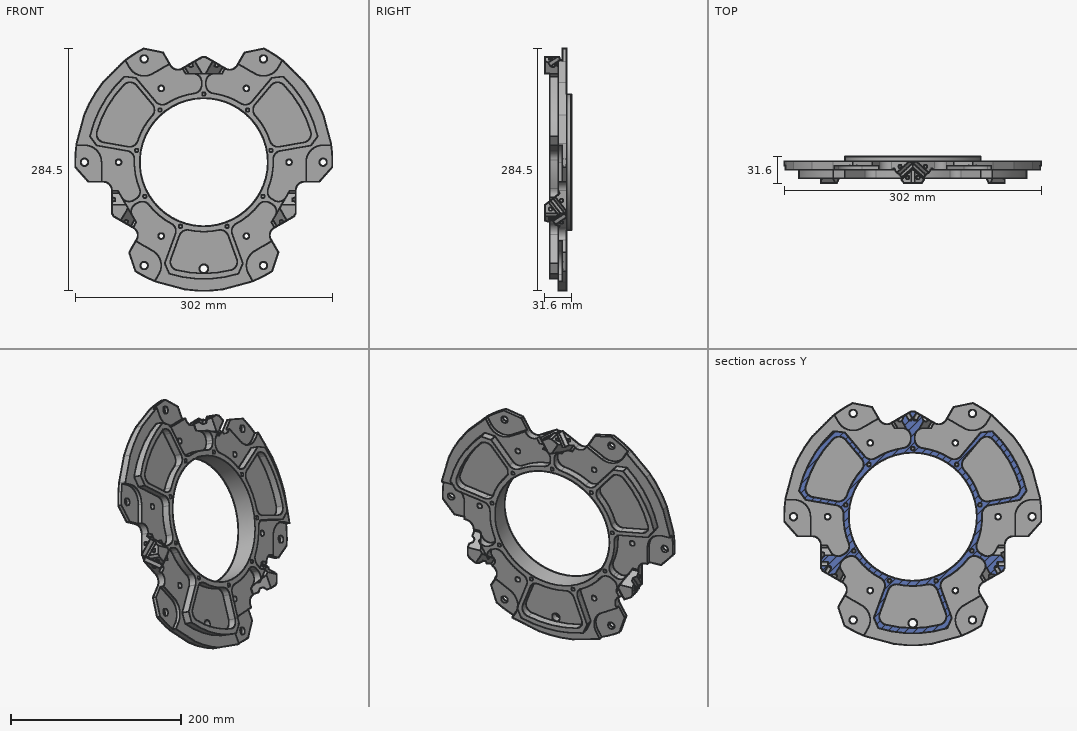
import cadquery as cq
import math

WEB_HEIGHT = 10.0
TAB_HEIGHT = 5.0
RIB_HEIGHT = 20.0
BLOCK_HEIGHT = 25.6
HUB_DEPTH = 6.0
HUB_CHAMFER = 1.0

OUTER_RADIUS = 151.0
RIM_FLAT_DISTANCE = 150.0
RIM_FLAT_ANGLE = 15.0
BORE_RADIUS = 75.0
HUB_RADIUS = 80.0
RING_RIB_RADIUS = 81.5

BLOCK_ANGLES = (90, 210, 330)
KEYSTONE_ANGLES = (270, 30, 150)
TAB_ANGLES = tuple(range(0, 360, 60))

TAB_HALF_WIDTH = 23.0
TAB_TIP_HALF_WIDTH = 5.65
TAB_SHOULDER = 135.5
TAB_HOLE_CIRCLE = 140.0
TAB_HOLE_DIAMETER = 8.5
TAB_RECESS_RADIUS = 20.0
NOTCH_FILLET = 10.0

WEB_HOLE_CIRCLE = 100.0
WEB_HOLE_DIAMETER = 6.5
RING_HOLE_COUNT = 9
RING_HOLE_CIRCLE = 80.0
RING_HOLE_DIAMETER = 4.2
RING_HOLE_DEPTH = 10.0
POCKET_HOLE_CIRCLE = 125.0
POCKET_HOLE_DIAMETER = 10.0

RIB_HALF_WIDTH = 2.5
KEYSTONE_HALF_ANGLE = 20.0
KEYSTONE_CORNER_RADIUS = 127.2
KEYSTONE_OUTER_RADIUS = 137.0
KEYSTONE_OUTER_HALF_ANGLE = 17.2
POCKET_OUTER_RADIUS = 130.5
RIB_FILLET = 10.0

FACE_DISTANCE = 108.0
FACE_TILT = 30.0
NOSE_RADIUS = FACE_DISTANCE / math.cos(math.radians(FACE_TILT))
NOSE_BEVEL_RADIUS = 123.5
BLOCK_INNER_RADIUS = 104.0
BLOCK_FRONT_WIDTH = 12.2
FLANK_ANGLE = 52.0
RELIEF_DEPTH = 1.8
RELIEF_WIDTH = 3.1

SEAT_ALONG = 17.5
SEAT_ACROSS = 2.3
GROOVE_FLOOR_HALF = 2.0
GROOVE_MOUTH_HALF = 5.1
GROOVE_DEPTH = 4.0
SEAT_HOLE_OFFSET = 8.1
SEAT_HOLE_DIAMETER = 4.2
SEAT_HOLE_DEPTH = 8.0

DRILL_POINT_ANGLE = 118.0
REACH = 60.0


def polar(radius, angle):
    """Point in the ring plane at an angle in degrees."""
    return radius * math.cos(math.radians(angle)), radius * math.sin(math.radians(angle))


def mirrored_x(point):
    return -point[0], point[1]


def at_height(height):
    """Work plane across the ring axis: X right, Z up, extruding toward -Y."""
    return cq.Workplane("XZ", origin=(0, -height, 0))


def turned(shape, angle):
    """Turn a shape about the ring axis, counter-clockwise when seen from -Y."""
    return shape.rotate((0, 0, 0), (0, -1, 0), angle)


def drilled(plane, diameter, depth):
    """Blind hole with a drill point, going along -normal of the plane."""
    radius = diameter / 2
    point = radius / math.tan(math.radians(DRILL_POINT_ANGLE / 2))
    section_plane = cq.Plane(origin=plane.origin, xDir=plane.xDir, normal=-plane.yDir)
    return (
        cq.Workplane(section_plane)
        .polyline([(0, 0), (radius, 0), (radius, -depth), (0, -depth - point)])
        .close()
        .revolve(360, (0, 0), (0, 1))
    )


def notch_cutter():
    """Space between the tabs at 60 and 120 degrees, around the seat block nose."""
    tab_angle = 90 - FACE_TILT

    def beside_tab(along, aside):
        x, z = polar(along, tab_angle)
        dx, dz = polar(aside, tab_angle + 90)
        return x + dx, z + dz

    clear = OUTER_RADIUS + 2 * TAB_HALF_WIDTH
    tip = math.sqrt(OUTER_RADIUS**2 - TAB_TIP_HALF_WIDTH**2)
    bevel_half = (NOSE_RADIUS - NOSE_BEVEL_RADIUS) / math.tan(math.radians(FACE_TILT))
    right = [
        beside_tab(clear, TAB_TIP_HALF_WIDTH),
        beside_tab(tip, TAB_TIP_HALF_WIDTH),
        beside_tab(TAB_SHOULDER, TAB_HALF_WIDTH),
        beside_tab(FACE_DISTANCE, TAB_HALF_WIDTH),
        (bevel_half, NOSE_BEVEL_RADIUS),
    ]
    left = [mirrored_x(point) for point in reversed(right)]
    cutter = at_height(0).polyline(right + left).close().extrude(WEB_HEIGHT)
    corners = [(x, -WEB_HEIGHT / 2, z) for x, z in (right[3], left[1])]
    for corner in corners:
        cutter = cutter.edges(cq.selectors.NearestToPointSelector(corner)).fillet(NOTCH_FILLET)
    return cutter


def make_web():
    web = at_height(0).circle(OUTER_RADIUS).extrude(WEB_HEIGHT)
    cutter = notch_cutter()
    for angle in BLOCK_ANGLES:
        web = web.cut(turned(cutter, angle - 90))
    outside_flat = at_height(0).rect(REACH, 2 * OUTER_RADIUS).extrude(WEB_HEIGHT)
    outside_flat = outside_flat.translate((RIM_FLAT_DISTANCE + REACH / 2, 0, 0))
    for angle in KEYSTONE_ANGLES:
        for side in (-RIM_FLAT_ANGLE, RIM_FLAT_ANGLE):
            web = web.cut(turned(outside_flat, angle + side))
    return web


def tab_recess():
    """Recess on the right-hand tab, rounded about the hole on the side facing the ring."""
    side = TAB_RECESS_RADIUS
    hole = TAB_HOLE_CIRCLE
    far = OUTER_RADIUS + side
    arc_middle = polar(side, 135)
    return (
        at_height(TAB_HEIGHT)
        .moveTo(hole - side, -2 * side)
        .lineTo(hole - side, 0)
        .threePointArc((hole + arc_middle[0], arc_middle[1]), (hole, side))
        .lineTo(far, side)
        .lineTo(far, -2 * side)
        .close()
        .extrude(WEB_HEIGHT - TAB_HEIGHT)
    )


def cut_tab_recesses(body):
    recess = tab_recess()
    mirrored = recess.mirror("XY")
    for angle in TAB_ANGLES:
        faces_up = (angle + 30) in BLOCK_ANGLES
        body = body.cut(turned(mirrored if faces_up else recess, angle))
    return body


def beside_spoke(radius, offset):
    """Point on the right of the bottom keystone, offset outward from its side spoke."""
    angle = KEYSTONE_HALF_ANGLE + math.degrees(math.asin(offset / radius))
    return polar(radius, 270 + angle)


def make_keystone():
    """Solid keystone at the bottom, from the ring out to its curved rim."""
    inner = beside_spoke(HUB_RADIUS, RIB_HALF_WIDTH)
    corner = beside_spoke(KEYSTONE_CORNER_RADIUS, RIB_HALF_WIDTH)
    rim = polar(KEYSTONE_OUTER_RADIUS, 270 + KEYSTONE_OUTER_HALF_ANGLE)
    return (
        at_height(WEB_HEIGHT)
        .moveTo(*mirrored_x(inner))
        .lineTo(*mirrored_x(corner))
        .lineTo(*mirrored_x(rim))
        .threePointArc((0, -KEYSTONE_OUTER_RADIUS), rim)
        .lineTo(*corner)
        .lineTo(*inner)
        .close()
        .extrude(RIB_HEIGHT - WEB_HEIGHT)
    )


def keystone_pocket():
    inner = beside_spoke(RING_RIB_RADIUS, -RIB_HALF_WIDTH)
    outer = beside_spoke(POCKET_OUTER_RADIUS, -RIB_HALF_WIDTH)
    return (
        at_height(WEB_HEIGHT)
        .moveTo(*mirrored_x(inner))
        .lineTo(*mirrored_x(outer))
        .threePointArc((0, -POCKET_OUTER_RADIUS), outer)
        .lineTo(*inner)
        .threePointArc((0, -RING_RIB_RADIUS), mirrored_x(inner))
        .close()
        .extrude(RIB_HEIGHT - WEB_HEIGHT)
        .edges("|Y")
        .fillet(RIB_FILLET)
    )


def make_bridge():
    """Rib joining the ring to the seat block at the top, flared where it meets the block."""
    narrow = RIB_HALF_WIDTH
    wide = RIB_HALF_WIDTH + RIB_FILLET
    flare_start = BLOCK_INNER_RADIUS - RIB_FILLET
    bend = RIB_FILLET * (1 - math.cos(math.radians(45)))
    bend_point = (narrow + bend, BLOCK_INNER_RADIUS - bend)
    return (
        at_height(WEB_HEIGHT)
        .moveTo(-narrow, HUB_RADIUS)
        .lineTo(-narrow, flare_start)
        .threePointArc(mirrored_x(bend_point), (-wide, BLOCK_INNER_RADIUS))
        .lineTo(wide, BLOCK_INNER_RADIUS)
        .threePointArc(bend_point, (narrow, flare_start))
        .lineTo(narrow, HUB_RADIUS)
        .close()
        .extrude(RIB_HEIGHT - WEB_HEIGHT)
    )


def make_ribs():
    ribs = at_height(WEB_HEIGHT).circle(RING_RIB_RADIUS).extrude(RIB_HEIGHT - WEB_HEIGHT)
    keystone = make_keystone()
    bridge = make_bridge()
    for block_angle, keystone_angle in zip(BLOCK_ANGLES, KEYSTONE_ANGLES):
        ribs = ribs.union(turned(keystone, keystone_angle - 270))
        ribs = ribs.union(turned(bridge, block_angle - 90))
    mid_height = (WEB_HEIGHT + RIB_HEIGHT) / 2
    spread = math.degrees(math.asin(RIB_HALF_WIDTH / RING_RIB_RADIUS))
    for angle in BLOCK_ANGLES + KEYSTONE_ANGLES:
        half_angle = KEYSTONE_HALF_ANGLE if angle in KEYSTONE_ANGLES else 0
        for side in (-1, 1):
            x, z = polar(RING_RIB_RADIUS, angle + side * (half_angle + spread))
            corner = cq.selectors.NearestToPointSelector((x, -mid_height, z))
            ribs = ribs.edges(corner).fillet(RIB_FILLET)
    pocket = keystone_pocket()
    for angle in KEYSTONE_ANGLES:
        ribs = ribs.cut(turned(pocket, angle - 270))
    return ribs


def make_hub():
    return (
        at_height(-HUB_DEPTH)
        .circle(HUB_RADIUS)
        .extrude(HUB_DEPTH)
        .faces(">Y")
        .edges()
        .chamfer(HUB_CHAMFER)
    )


def seat_face_plane():
    """Right face of the top block: origin at the nose, x along the face, y along +Y."""
    tilt = math.radians(FACE_TILT)
    return cq.Plane(
        origin=(0, 0, NOSE_RADIUS),
        xDir=(math.cos(tilt), 0, -math.sin(tilt)),
        normal=(math.sin(tilt), 0, math.cos(tilt)),
    )


def flank_width(height):
    """Distance from the nose to the sloping flank at a height."""
    return BLOCK_FRONT_WIDTH + (BLOCK_HEIGHT - height) / math.tan(math.radians(FLANK_ANGLE))


def outside_block_inner_face(shape):
    """Right-hand part of a shape that lies beyond the inner face of the top block."""
    keep = cq.Workplane("XY").box(REACH, REACH, REACH, centered=(False, True, False))
    return shape.intersect(keep.translate((0, 0, BLOCK_INNER_RADIUS)))


def half_block():
    """Right half of the top seat block."""
    profile = [
        (0, -WEB_HEIGHT),
        (0, -BLOCK_HEIGHT),
        (BLOCK_FRONT_WIDTH, -BLOCK_HEIGHT),
        (flank_width(WEB_HEIGHT), -WEB_HEIGHT),
    ]
    half = cq.Workplane(seat_face_plane()).polyline(profile).close().extrude(-REACH)
    nose_cut = cq.Workplane("XY").box(REACH, REACH, REACH, centered=(True, True, False))
    half = half.cut(nose_cut.translate((0, 0, NOSE_BEVEL_RADIUS)))
    return outside_block_inner_face(half)


def flank_relief():
    """V-shaped relief in the web along the foot of the flank."""
    root_height = WEB_HEIGHT - RELIEF_DEPTH
    root = flank_width(root_height)
    profile = [
        (flank_width(WEB_HEIGHT), -WEB_HEIGHT),
        (root, -root_height),
        (root + RELIEF_WIDTH, -WEB_HEIGHT),
    ]
    relief = cq.Workplane(seat_face_plane()).polyline(profile).close().extrude(-REACH)
    return outside_block_inner_face(relief)


def seat_cuts():
    """Flat-floored V-groove square to the flank, with a screw hole on each side of it."""
    face = seat_face_plane()
    flank = math.radians(FLANK_ANGLE)
    along = (math.sin(flank), -math.cos(flank))
    across = (-math.cos(flank), -math.sin(flank))

    def on_face(distance_along, distance_across):
        return face.toWorldCoords(
            (
                distance_along * along[0] + distance_across * across[0],
                distance_along * along[1] + distance_across * across[1],
                0,
            )
        )

    along_dir = on_face(1, 0) - on_face(0, 0)
    across_dir = on_face(0, 1) - on_face(0, 0)
    groove_plane = cq.Plane(origin=on_face(SEAT_ALONG, SEAT_ACROSS), xDir=across_dir, normal=along_dir)
    inward = -1 if groove_plane.yDir.dot(face.zDir) > 0 else 1
    section = [
        (-GROOVE_MOUTH_HALF, 0),
        (-GROOVE_FLOOR_HALF, inward * GROOVE_DEPTH),
        (GROOVE_FLOOR_HALF, inward * GROOVE_DEPTH),
        (GROOVE_MOUTH_HALF, 0),
    ]
    cuts = cq.Workplane(groove_plane).polyline(section).close().extrude(REACH / 2, both=True)
    for side in (-1, 1):
        centre = on_face(SEAT_ALONG, SEAT_ACROSS + side * SEAT_HOLE_OFFSET)
        hole_plane = cq.Plane(origin=centre, xDir=face.xDir, normal=face.zDir)
        cuts = cuts.union(drilled(hole_plane, SEAT_HOLE_DIAMETER, SEAT_HOLE_DEPTH))
    return cuts


def add_seat_blocks(body):
    half = half_block()
    block = half.union(half.mirror("YZ"))
    cuts = (flank_relief(), seat_cuts())
    for angle in BLOCK_ANGLES:
        body = body.union(turned(block, angle - 90))
    for angle in BLOCK_ANGLES:
        for cut in cuts:
            body = body.cut(turned(cut, angle - 90))
            body = body.cut(turned(cut.mirror("YZ"), angle - 90))
    return body


def cut_holes(body):
    tab_points = [polar(TAB_HOLE_CIRCLE, angle) for angle in TAB_ANGLES]
    web_points = [polar(WEB_HOLE_CIRCLE, angle) for angle in TAB_ANGLES]
    patterns = (
        (tab_points, TAB_HOLE_DIAMETER),
        (web_points, WEB_HOLE_DIAMETER),
        ([(0, -POCKET_HOLE_CIRCLE)], POCKET_HOLE_DIAMETER),
    )
    for points, diameter in patterns:
        body = body.cut(at_height(0).pushPoints(points).circle(diameter / 2).extrude(WEB_HEIGHT))
    for i in range(RING_HOLE_COUNT):
        x, z = polar(RING_HOLE_CIRCLE, 90 + i * 360 / RING_HOLE_COUNT)
        plane = cq.Plane(origin=(x, -RIB_HEIGHT, z), xDir=(1, 0, 0), normal=(0, -1, 0))
        body = body.cut(drilled(plane, RING_HOLE_DIAMETER, RING_HOLE_DEPTH))
    bore = at_height(-HUB_DEPTH).circle(BORE_RADIUS).extrude(HUB_DEPTH + RIB_HEIGHT)
    return body.cut(bore)


web = cut_tab_recesses(make_web())
plate = web.union(make_ribs()).union(make_hub())
result = cut_holes(add_seat_blocks(plate))